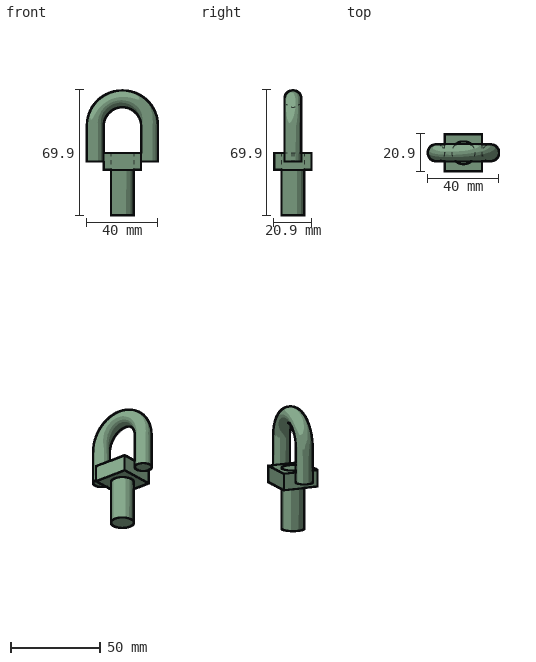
import cadquery as cq

overall_height = 69.9
shackle_width = 40.0
rod_diameter = 9.6
block_side = 20.9
block_height = 9.5
block_top = 34.95
pin_diameter = 12.85
leg_end = 30.0

bend_radius = (shackle_width - rod_diameter) / 2
bend_center = overall_height - shackle_width / 2


def make_bow():
    """Round rod bent into an inverted U with two straight legs."""
    path = (
        cq.Workplane("XZ")
        .moveTo(-bend_radius, leg_end)
        .lineTo(-bend_radius, bend_center)
        .threePointArc((0, bend_center + bend_radius), (bend_radius, bend_center))
        .lineTo(bend_radius, leg_end)
    )
    section = cq.Workplane("XY", origin=(-bend_radius, 0, leg_end)).circle(rod_diameter / 2)
    return section.sweep(path)


def make_block():
    """Square block with a through hole for the pin."""
    return (
        cq.Workplane("XY", origin=(0, 0, block_top - block_height))
        .rect(block_side, block_side)
        .circle(pin_diameter / 2)
        .extrude(block_height)
    )


def make_shackle():
    """Block and bow joined into one body."""
    return make_block().union(make_bow())


def make_pin():
    """Plain round pin, flush with the top of the block."""
    return cq.Workplane("XY").circle(pin_diameter / 2).extrude(block_top)


shackle = make_shackle()
pin = make_pin()

result = cq.Compound.makeCompound([shackle.solids().val(), pin.val()])